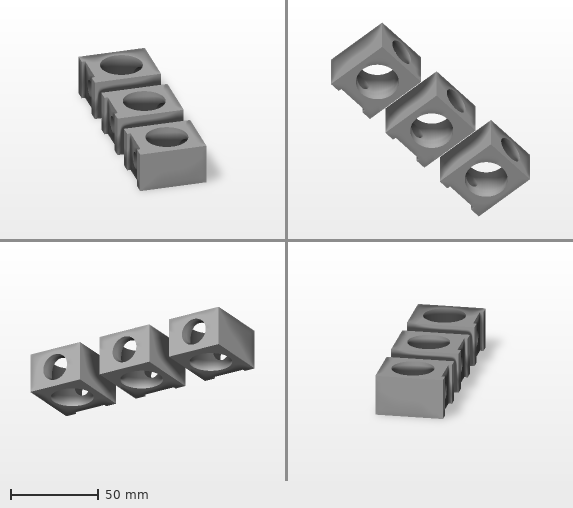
import cadquery as cq

ROW_LENGTH = 126.5
BLOCK_COUNT = 3
BLOCK_WIDTH = 33.4
BLOCK_HEIGHT = 23.5
BLOCK_PITCH = (ROW_LENGTH - BLOCK_WIDTH) / (BLOCK_COUNT - 1)

BODY_DEPTH = 37.5
CHANNEL_DEPTH = 2.0
CHANNEL_WIDTH = 20.2

BORE_DIAMETER = 24.5

FRONT_HOLE_DIAMETER = 10.1
FRONT_HOLE_HEIGHT = 11.0

REAR_HOLE_DIAMETER = 16.0
REAR_HOLE_HEIGHT = BLOCK_HEIGHT / 2


def make_rod(diameter, height, start_y, end_y):
    """Cylinder along Y with its axis at the given height, used as a cutter."""
    return cq.Workplane(
        cq.Solid.makeCylinder(
            diameter / 2,
            end_y - start_y,
            cq.Vector(0, start_y, height),
            cq.Vector(0, 1, 0),
        )
    )


def make_block(center_x):
    """One bored block; Y = 0 and X = center_x lie on the bore axis, Z = 0 is the base."""
    rear_y = BODY_DEPTH / 2
    channel_floor_y = -BODY_DEPTH / 2
    front_y = channel_floor_y - CHANNEL_DEPTH

    block = cq.Workplane("XY").box(
        BLOCK_WIDTH, rear_y - front_y, BLOCK_HEIGHT, centered=(True, False, False)
    ).translate((0, front_y, 0))
    channel = cq.Workplane("XY").box(
        CHANNEL_WIDTH, CHANNEL_DEPTH, BLOCK_HEIGHT, centered=(True, False, False)
    ).translate((0, front_y, 0))
    bore = cq.Workplane("XY").circle(BORE_DIAMETER / 2).extrude(BLOCK_HEIGHT)

    block = block.cut(channel).cut(bore)
    block = block.cut(make_rod(FRONT_HOLE_DIAMETER, FRONT_HOLE_HEIGHT, front_y, 0))
    block = block.cut(make_rod(REAR_HOLE_DIAMETER, REAR_HOLE_HEIGHT, 0, rear_y))
    return block.translate((center_x, 0, 0))


first_center_x = (BLOCK_WIDTH - ROW_LENGTH) / 2
blocks = [make_block(first_center_x + index * BLOCK_PITCH) for index in range(BLOCK_COUNT)]

result = cq.Compound.makeCompound([block.solids().val() for block in blocks])